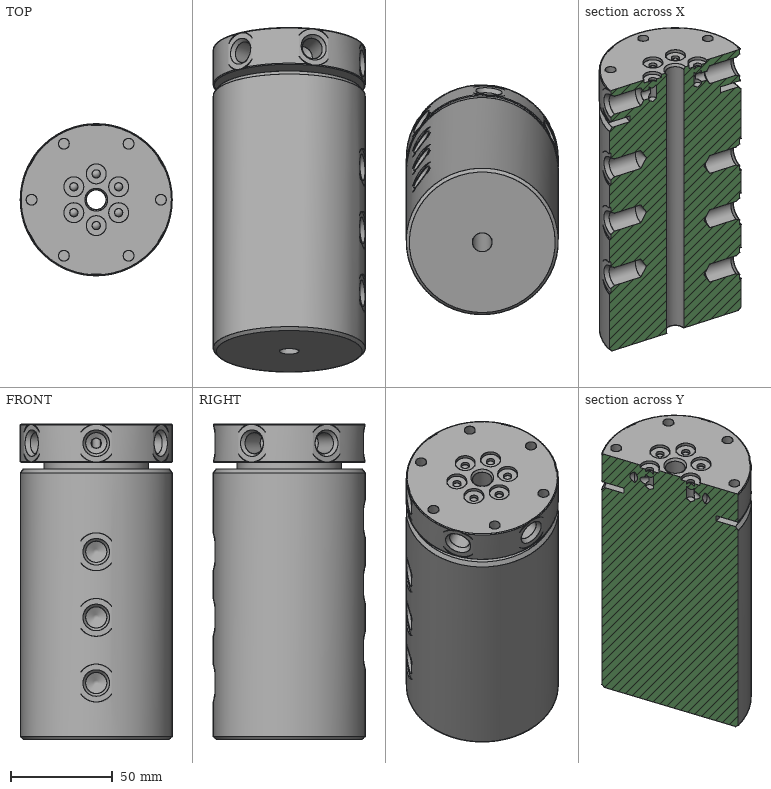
import cadquery as cq
import math

outer_radius = 37.3
total_height = 154.8
body_top = 132.8
body_top_chamfer_width = 1.5
body_top_chamfer_height = 2.0
body_bottom_chamfer = 1.5
neck_radius = 25.7
head_bottom = 135.9
head_chamfer = 0.5

bore_diameter = 9.6
bore_mouth_diameter = 11.1
bore_mouth_depth = 1.4

station_count = 6
station_pitch = 360.0 / station_count
passage_circle_radius = 12.7
passage_diameter = 4.0
passage_depth = 13.2
seal_recess_diameter = 9.8
seal_recess_depth = 1.7
ball_diameter = 4.3
ball_top_depth = 2.2
mount_hole_circle_radius = 31.7
mount_hole_diameter = 5.3
mount_hole_depth = 7.7

spotface_diameter = 18.5
head_flat_radius = 36.5
body_flat_radius = 36.5
spotface_overshoot = 1.5
port_diameter = 10.4
port_mouth_diameter = 13.0
port_mouth_depth = 2.2
port_depth = 17.0
pilot_diameter = 5.0
drill_point_angle = 118.0
head_port_z = 145.3
first_port_angle = 30.0

body_port_count = 3
body_port_pitch = 32.2
lowest_front_port_z = 27.7
lowest_back_port_z = lowest_front_port_z + body_port_pitch / 2


def drill_tip_length(diameter):
    return diameter / 2 / math.tan(math.radians(drill_point_angle / 2))


def drilled_hole(diameter, depth):
    """Drill-shaped cutter that starts at the origin and points down -Z."""
    radius = diameter / 2
    return (
        cq.Workplane("XZ")
        .moveTo(0, 0)
        .lineTo(radius, 0)
        .lineTo(radius, -depth)
        .lineTo(0, -depth - drill_tip_length(diameter))
        .close()
        .revolve(360, (0, 0, 0), (0, 1, 0))
    )


def port_cutter(flat_radius):
    """Turned port cutter with its mouth at the origin, pointing down -Z."""
    spotface_radius = spotface_diameter / 2
    spotface_height = outer_radius - flat_radius + spotface_overshoot
    port_radius = port_diameter / 2
    mouth_radius = port_mouth_diameter / 2
    return (
        cq.Workplane("XZ")
        .moveTo(0, spotface_height)
        .lineTo(spotface_radius, spotface_height)
        .lineTo(spotface_radius, 0)
        .lineTo(mouth_radius, 0)
        .lineTo(port_radius, -port_mouth_depth)
        .lineTo(port_radius, -port_depth)
        .lineTo(0, -port_depth - drill_tip_length(port_diameter))
        .close()
        .revolve(360, (0, 0, 0), (0, 1, 0))
    )


def place_radially(cutter, mouth_radius, angle, height):
    """Turn a -Z cutter to point at the axis, with its mouth at the given place."""
    return (
        cutter.rotate((0, 0, 0), (0, 1, 0), 90)
        .translate((mouth_radius, 0, height))
        .rotate((0, 0, 0), (0, 0, 1), angle)
    )


def station_points(circle_radius, start_angle):
    angles = [math.radians(start_angle + i * station_pitch) for i in range(station_count)]
    return [(circle_radius * math.cos(a), circle_radius * math.sin(a)) for a in angles]


def make_blank():
    """Body, neck and head turned as one profile."""
    return (
        cq.Workplane("XZ")
        .moveTo(0, 0)
        .lineTo(outer_radius - body_bottom_chamfer, 0)
        .lineTo(outer_radius, body_bottom_chamfer)
        .lineTo(outer_radius, body_top - body_top_chamfer_height)
        .lineTo(outer_radius - body_top_chamfer_width, body_top)
        .lineTo(neck_radius, body_top)
        .lineTo(neck_radius, head_bottom)
        .lineTo(outer_radius - head_chamfer, head_bottom)
        .lineTo(outer_radius, head_bottom + head_chamfer)
        .lineTo(outer_radius, total_height - head_chamfer)
        .lineTo(outer_radius - head_chamfer, total_height)
        .lineTo(0, total_height)
        .close()
        .revolve(360, (0, 0, 0), (0, 1, 0))
    )


def cut_bore(part):
    """Through bore with a steep tapered mouth in the top face."""
    bore_radius = bore_diameter / 2
    cutter = (
        cq.Workplane("XZ")
        .moveTo(0, 0)
        .lineTo(bore_radius, 0)
        .lineTo(bore_radius, total_height - bore_mouth_depth)
        .lineTo(bore_mouth_diameter / 2, total_height)
        .lineTo(0, total_height)
        .close()
        .revolve(360, (0, 0, 0), (0, 1, 0))
    )
    return part.cut(cutter)


def cut_top_face_holes(part):
    """Passages with seal recesses in line with the ports, and mounting holes between them."""
    passage_points = station_points(passage_circle_radius, first_port_angle)
    mount_points = station_points(mount_hole_circle_radius, 0)
    top_plane = cq.Workplane("XY", origin=(0, 0, total_height))
    recess_circles = top_plane.pushPoints(passage_points).circle(seal_recess_diameter / 2)
    recesses = recess_circles.extrude(-seal_recess_depth)
    mount_circles = top_plane.pushPoints(mount_points).circle(mount_hole_diameter / 2)
    mount_holes = mount_circles.extrude(-mount_hole_depth)
    part = part.cut(recesses).cut(mount_holes)
    for x, y in passage_points:
        part = part.cut(drilled_hole(passage_diameter, passage_depth).translate((x, y, total_height)))
    return part


def cut_head_ports(part):
    """Radial head ports, each with a pilot hole running in to its passage."""
    pilot_depth = head_flat_radius - passage_circle_radius
    port = port_cutter(head_flat_radius)
    pilot = cq.Workplane("XY").circle(pilot_diameter / 2).extrude(-pilot_depth)
    for i in range(station_count):
        angle = first_port_angle + i * station_pitch
        part = part.cut(place_radially(port, head_flat_radius, angle, head_port_z))
        part = part.cut(place_radially(pilot, head_flat_radius, angle, head_port_z))
    return part


def cut_body_ports(part):
    """Columns of blind ports on opposite sides of the body."""
    cutter = port_cutter(body_flat_radius)
    for angle, lowest_z in ((-90, lowest_front_port_z), (90, lowest_back_port_z)):
        for i in range(body_port_count):
            height = lowest_z + i * body_port_pitch
            part = part.cut(place_radially(cutter, body_flat_radius, angle, height))
    return part


def add_passage_balls(part):
    """Balls that close the passages just under the seal recesses."""
    ball_z = total_height - ball_top_depth - ball_diameter / 2
    for x, y in station_points(passage_circle_radius, first_port_angle):
        part = part.union(cq.Workplane("XY").sphere(ball_diameter / 2).translate((x, y, ball_z)))
    return part


result = make_blank()
result = cut_body_ports(result)
result = cut_bore(result)
result = cut_head_ports(result)
result = cut_top_face_holes(result)
result = add_passage_balls(result)